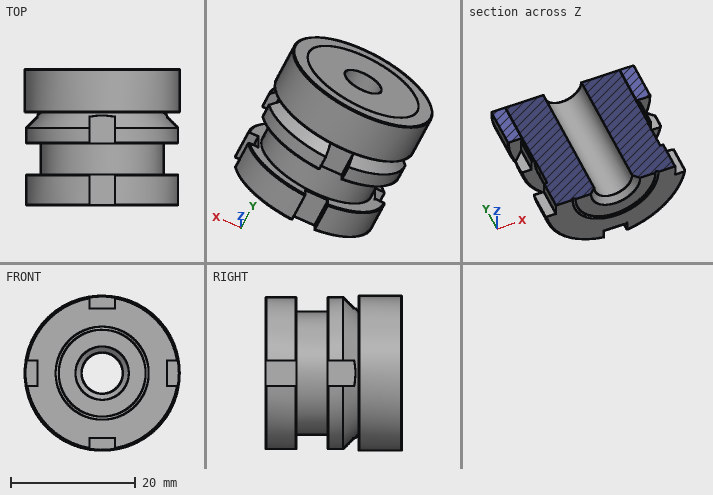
import cadquery as cq

base_radius = 12.5
base_height = 7.0
flange_radius = 12.4
flange_height = 5.0
neck_gap = 5.0
edge_chamfer = 0.15

shank_radius = 9.95
bore_radius = 3.3
countersink_radius = 4.3

nut_cone_height = 2.5
groove_center_radius = 7.25
groove_radius = 0.25

slot_width = 4.08
slot_floor_distance = 10.45
slot_count = 4

nut_top = base_height + flange_height
head_bottom = nut_top + neck_gap
total_height = head_bottom + flange_height


def revolve_profile(points):
    """Revolve a closed outline of (radius, height) points about the axis."""
    outline = [(radius, -height) for radius, height in points]
    return cq.Workplane("XY").polyline(outline).close().revolve(360, (0, 0, 0), (0, 1, 0))


def cut_wrench_slots(body, bottom, height):
    """Cut the evenly spaced wrench slots across one flange."""
    depth = base_radius - slot_floor_distance
    slot = cq.Workplane("XY").box(slot_width, height, depth, centered=(True, True, False))
    slot = slot.translate((0, -(bottom + height / 2), slot_floor_distance))
    for index in range(slot_count):
        angle = index * 360 / slot_count
        body = body.cut(slot.rotate((0, 0, 0), (0, 1, 0), angle))
    return body


def make_base():
    """Plain ring with chamfered outer edges."""
    return revolve_profile([
        (shank_radius, 0),
        (base_radius - edge_chamfer, 0),
        (base_radius, edge_chamfer),
        (base_radius, base_height - edge_chamfer),
        (base_radius - edge_chamfer, base_height),
        (shank_radius, base_height),
    ])


def make_lock_nut():
    """Slotted ring whose tapered back meets the base."""
    nut = revolve_profile([
        (shank_radius, base_height),
        (flange_radius, base_height + nut_cone_height),
        (flange_radius, nut_top - edge_chamfer),
        (flange_radius - edge_chamfer, nut_top),
        (shank_radius, nut_top),
    ])
    return cut_wrench_slots(nut, base_height, flange_height).solids()


def make_spindle():
    """Bored shank with a slotted, grooved head."""
    countersink_depth = countersink_radius - bore_radius
    spindle = revolve_profile([
        (bore_radius, 0),
        (shank_radius, 0),
        (shank_radius, head_bottom),
        (flange_radius - edge_chamfer, head_bottom),
        (flange_radius, head_bottom + edge_chamfer),
        (flange_radius, total_height - edge_chamfer),
        (flange_radius - edge_chamfer, total_height),
        (countersink_radius, total_height),
        (bore_radius, total_height - countersink_depth),
    ])
    groove = (
        cq.Workplane("XY")
        .center(groove_center_radius, -total_height)
        .circle(groove_radius)
        .revolve(360, (-groove_center_radius, 0, 0), (-groove_center_radius, 1, 0))
    )
    return cut_wrench_slots(spindle.cut(groove), head_bottom, flange_height).solids()


base = make_base()
lock_nut = make_lock_nut()
spindle = make_spindle()

result = cq.Compound.makeCompound([base.val(), lock_nut.val(), spindle.val()])